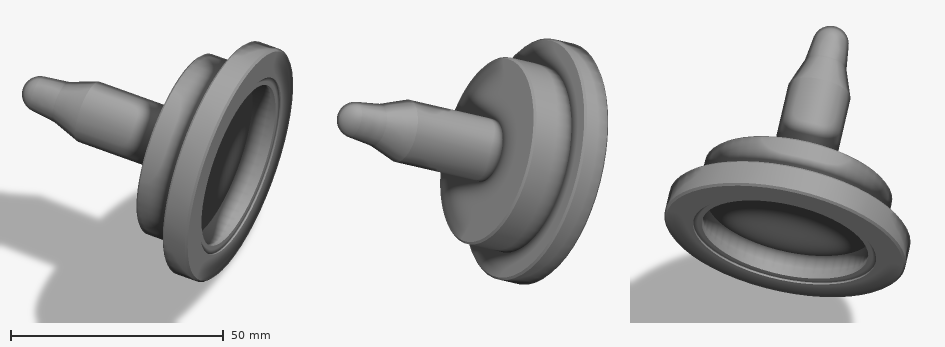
import cadquery as cq
import math

disc_diameter = 58.0
disc_thickness = 6.5
flange_diameter = 45.0
flange_thickness = 10.0
edge_chamfer = 0.5

lip_diameter = 44.0
lip_depth = 0.5
recess_diameter = 40.0
recess_depth = disc_thickness

pin_diameter = 15.0
pin_length = 40.0
taper_length = 7.0
taper_end_diameter = 10.1
neck_length = 6.3
dome_radius = 4.3
dome_height = 3.7
tip_flat_radius = 0.4

lean_angle = 1.5

disc_radius = disc_diameter / 2
flange_radius = flange_diameter / 2
pin_radius = pin_diameter / 2
taper_end_radius = taper_end_diameter / 2
flange_front = pin_length
disc_front = flange_front + flange_thickness
disc_back = disc_front + disc_thickness
dome_center = math.sqrt(dome_radius**2 - tip_flat_radius**2)
taper_end = dome_height + neck_length
taper_start = taper_end + taper_length


def dome_radius_at(station):
    """Radius of the spherical dome at a distance behind its flat tip."""
    return math.sqrt(dome_radius**2 - (dome_center - station) ** 2)


def make_stepped_disc():
    """Disc and smaller flange, with chamfered outer rims."""
    disc = cq.Workplane("YZ", origin=(disc_front, 0, 0)).circle(disc_radius).extrude(disc_thickness)
    disc = disc.faces("<X or >X").chamfer(edge_chamfer)
    flange = cq.Workplane("YZ", origin=(flange_front, 0, 0)).circle(flange_radius).extrude(flange_thickness)
    flange = flange.faces("<X").chamfer(edge_chamfer)
    return disc.union(flange)


def make_pin():
    """Cylinder, taper, slim neck and dome as one turned profile."""
    dome_middle = dome_height / 2
    profile = (
        cq.Workplane("XY")
        .moveTo(0, 0)
        .lineTo(0, tip_flat_radius)
        .threePointArc((dome_middle, dome_radius_at(dome_middle)), (dome_height, dome_radius_at(dome_height)))
        .lineTo(taper_end, taper_end_radius)
        .lineTo(taper_start, pin_radius)
        .lineTo(disc_front, pin_radius)
        .lineTo(disc_front, 0)
        .close()
    )
    return profile.revolve(360, (0, 0, 0), (1, 0, 0))


def back_cut(diameter, depth):
    """Round cutter reaching into the disc from its back face."""
    return cq.Workplane("YZ", origin=(disc_back, 0, 0)).circle(diameter / 2).extrude(-depth)


def lean(body):
    """Swing the nose towards -Y and -Z, about the centre of the back face."""
    body = body.translate((-disc_back, 0, 0))
    body = body.rotate((0, 0, 0), (0, 1, 0), -lean_angle)
    return body.rotate((0, 0, 0), (0, 0, 1), lean_angle)


part = make_stepped_disc().union(make_pin())
part = part.cut(back_cut(lip_diameter, lip_depth))
part = part.cut(back_cut(recess_diameter, recess_depth))
result = lean(part)